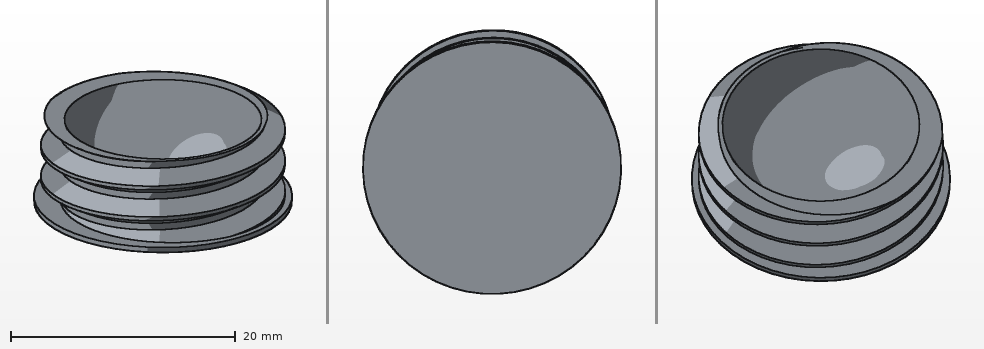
import cadquery as cq
import math

total_height = 7.9
flange_diameter = 23.0
flange_thickness = 0.5

major_diameter = 21.77
minor_diameter = 18.34
pitch = 3.0
flank_angle = 30.0
crest_width = pitch / 8
crest_height_on_x = flange_thickness
root_overlap = 0.2

bowl_radius = 9.0
bowl_floor = 0.9

flange_radius = flange_diameter / 2
major_radius = major_diameter / 2
minor_radius = minor_diameter / 2
thread_depth = major_radius - minor_radius
thread_height = total_height - flange_thickness
thread_start = crest_height_on_x - pitch
thread_turns = math.ceil((total_height - thread_start) / pitch) + 1


def disc(radius, bottom, height):
    """Upright cylinder on the part axis."""
    return cq.Workplane("XY").workplane(offset=bottom).circle(radius).extrude(height)


def thread_ridge():
    """Helical trapezoidal ridge, running past both ends of the threaded length."""
    half_crest = crest_width / 2
    half_base = half_crest + thread_depth * math.tan(math.radians(flank_angle))
    inner_radius = minor_radius - root_overlap
    profile = (
        cq.Workplane("XZ")
        .moveTo(inner_radius, thread_start - half_base)
        .lineTo(minor_radius, thread_start - half_base)
        .lineTo(major_radius, thread_start - half_crest)
        .lineTo(major_radius, thread_start + half_crest)
        .lineTo(minor_radius, thread_start + half_base)
        .lineTo(inner_radius, thread_start + half_base)
        .close()
    )
    helix_origin = cq.Vector(0, 0, thread_start)
    helix = cq.Wire.makeHelix(pitch, thread_turns * pitch, minor_radius, center=helix_origin)
    return profile.sweep(cq.Workplane(obj=helix), isFrenet=True)


def threaded_body():
    """Threaded plug, cut off flat at the flange and at the top."""
    end_margin = pitch
    core_bottom = thread_start - end_margin
    core_height = thread_turns * pitch + 2 * end_margin
    core = disc(minor_radius, core_bottom, core_height)
    trimmed_length = disc(flange_radius, flange_thickness, thread_height)
    return core.union(thread_ridge()).intersect(trimmed_length)


def bowl():
    """Ball whose lower cap forms the bowl."""
    return cq.Workplane("XY").sphere(bowl_radius).translate((0, 0, bowl_floor + bowl_radius))


flange = disc(flange_radius, 0, flange_thickness)
result = flange.union(threaded_body()).cut(bowl())